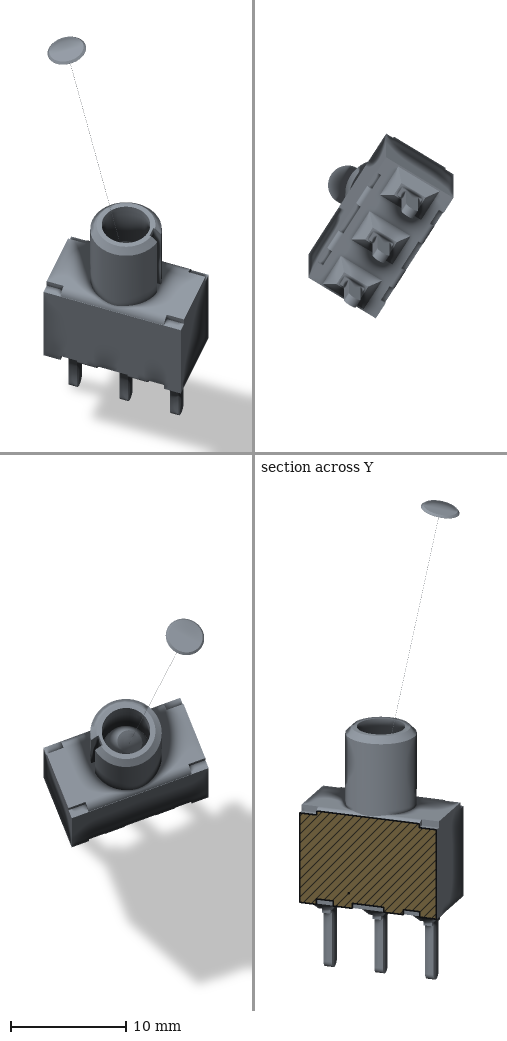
import cadquery as cq
import math


BODY_LENGTH = 12.7
BODY_WIDTH = 6.86
BODY_HEIGHT = 8.82

FRAME_LENGTH = 9.55
FRAME_THICKNESS = 0.5
FRAME_BEND_RADIUS = 0.76
FRAME_SKIRT_HEIGHT = 0.5
STEP_WIDTH = 0.79
STEP_DEPTH = 0.57
TAB_LENGTH = 1.83
TAB_BEND_RADIUS = 0.42

BUSHING_DIAMETER = 6.2
BUSHING_HEIGHT = 7.07
BUSHING_CHAMFER = 0.55
BORE_DIAMETER = 4.2
KEYWAY_WIDTH = 0.95
KEYWAY_FLOOR_RADIUS = 2.36

LEVER_TILT = 12.0
BALL_DIAMETER = 4.1
BALL_CENTRE_DEPTH = 5.2
DISH_DIAMETER = 2.2
CAP_DIAMETER = 3.4
CAP_THICKNESS = 0.2
CAP_CHAMFER = 0.18
STEM_DIAMETER = 0.02

TERMINAL_PITCH = 4.7
PIN_THICKNESS = 0.79
PIN_WIDTH = 1.2
PIN_TIP_DEPTH = 6.69
SHOULDER_WIDTH = 2.0
SHOULDER_DEPTH = 1.5
SEAL_LENGTH = 3.0
SEAL_WIDTH = 4.2
SEAL_DEPTH = 1.05
SEAL_TAPER = 0.87

OVERALL_HEIGHT = 43.64

BUSHING_TOP = BODY_HEIGHT + BUSHING_HEIGHT
BALL_CENTRE_Z = BUSHING_TOP - BALL_CENTRE_DEPTH
TILT = math.radians(LEVER_TILT)
CAP_FACE_RADIUS = CAP_DIAMETER / 2 - CAP_CHAMFER
CAP_TOP_Z = OVERALL_HEIGHT - PIN_TIP_DEPTH
LEVER_LENGTH = (CAP_TOP_Z - CAP_FACE_RADIUS * math.sin(TILT) - BALL_CENTRE_Z) / math.cos(TILT)


def make_body():
    """Block with stepped top edges, covered in the middle by the bent frame."""
    body = cq.Workplane("XY").box(BODY_LENGTH, BODY_WIDTH, BODY_HEIGHT, centered=(True, True, False))
    body = body.cut(
        cq.Workplane("XY")
        .workplane(offset=BODY_HEIGHT - STEP_DEPTH)
        .rarray(1, BODY_WIDTH - STEP_WIDTH, 1, 2)
        .rect(BODY_LENGTH, STEP_WIDTH)
        .extrude(STEP_DEPTH)
    )
    underside_relief = (
        cq.Workplane("XY")
        .rarray(1, BODY_WIDTH - FRAME_THICKNESS, 1, 2)
        .rect(FRAME_LENGTH, FRAME_THICKNESS)
        .extrude(FRAME_SKIRT_HEIGHT)
    )
    frame = (
        cq.Workplane("XY")
        .workplane(offset=FRAME_SKIRT_HEIGHT)
        .box(FRAME_LENGTH, BODY_WIDTH, BODY_HEIGHT - FRAME_SKIRT_HEIGHT, centered=(True, True, False))
        .edges("|X and >Z")
        .fillet(FRAME_BEND_RADIUS)
    )
    return body.cut(underside_relief).union(frame)


def make_tabs():
    """Frame tabs between the terminals, folded under the body with a rounded bend."""
    return (
        cq.Workplane("XY")
        .rarray(TERMINAL_PITCH, 1, 2, 1)
        .rect(TAB_LENGTH, BODY_WIDTH)
        .extrude(FRAME_SKIRT_HEIGHT)
        .edges("|X and <Z")
        .fillet(TAB_BEND_RADIUS)
    )


def make_bushing():
    """Chamfered bushing, rooted below the body top so that it meets the frame bends."""
    return (
        cq.Workplane("XY")
        .workplane(offset=BODY_HEIGHT - FRAME_BEND_RADIUS)
        .circle(BUSHING_DIAMETER / 2)
        .extrude(BUSHING_HEIGHT + FRAME_BEND_RADIUS)
        .faces(">Z")
        .edges()
        .chamfer(BUSHING_CHAMFER)
    )


def make_bore():
    """Bore down to the middle of the lever ball."""
    return (
        cq.Workplane("XY")
        .workplane(offset=BALL_CENTRE_Z)
        .circle(BORE_DIAMETER / 2)
        .extrude(BALL_CENTRE_DEPTH)
    )


def make_keyway():
    """Flat-floored groove along the +X side of the bushing."""
    return (
        cq.Workplane("XY")
        .workplane(offset=BODY_HEIGHT)
        .center(KEYWAY_FLOOR_RADIUS + BUSHING_DIAMETER / 2, 0)
        .rect(BUSHING_DIAMETER, KEYWAY_WIDTH)
        .extrude(BUSHING_HEIGHT)
    )


def make_lever():
    """Ball with a dished top, and the cap held on the lever axis by a hairline stem."""
    ball_radius = BALL_DIAMETER / 2
    dish_radius = DISH_DIAMETER / 2
    dish_centre = 2 * math.sqrt(ball_radius**2 - dish_radius**2)
    ball = cq.Workplane("XY").sphere(ball_radius)
    dish = ball.translate((0, 0, dish_centre))
    stem = cq.Workplane("XY").circle(STEM_DIAMETER / 2).extrude(LEVER_LENGTH - CAP_THICKNESS / 2)
    cap = (
        cq.Workplane("XY")
        .workplane(offset=LEVER_LENGTH - CAP_THICKNESS)
        .circle(CAP_DIAMETER / 2)
        .extrude(CAP_THICKNESS)
        .faces(">Z")
        .edges()
        .chamfer(CAP_CHAMFER)
    )
    lever = ball.cut(dish).union(stem).union(cap)
    return lever.rotate((0, 0, 0), (0, 1, 0), -LEVER_TILT).translate((0, 0, BALL_CENTRE_Z))


def make_terminal():
    """Tapered sealant foot, pin shoulder and flat pin with a half-round tip."""
    taper_angle = math.degrees(math.atan2(SEAL_TAPER, SEAL_DEPTH))
    seal = cq.Workplane("XY").rect(SEAL_LENGTH, SEAL_WIDTH).extrude(-SEAL_DEPTH, taper=taper_angle)
    shoulder = cq.Workplane("XY").rect(PIN_THICKNESS, SHOULDER_WIDTH).extrude(-SHOULDER_DEPTH)
    half_width = PIN_WIDTH / 2
    tip_start = half_width - PIN_TIP_DEPTH
    pin = (
        cq.Workplane("YZ")
        .moveTo(half_width, 0)
        .lineTo(half_width, tip_start)
        .threePointArc((0, -PIN_TIP_DEPTH), (-half_width, tip_start))
        .lineTo(-half_width, 0)
        .close()
        .extrude(PIN_THICKNESS / 2, both=True)
    )
    return seal.union(shoulder).union(pin)


result = make_body().union(make_tabs()).union(make_bushing())
result = result.cut(make_bore()).cut(make_keyway()).union(make_lever())
for position in (-1, 0, 1):
    result = result.union(make_terminal().translate((position * TERMINAL_PITCH, 0, 0)))